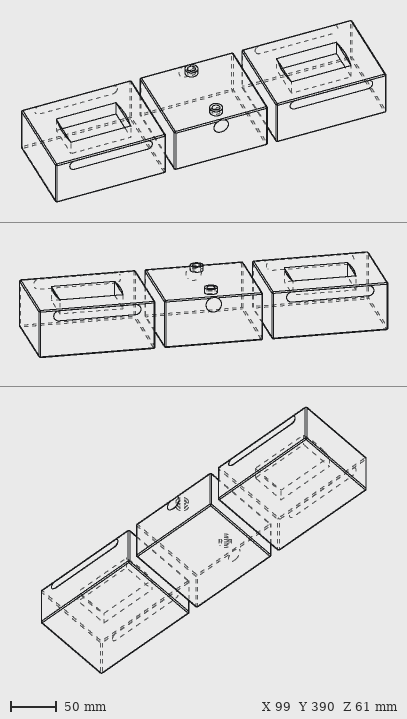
import cadquery as cq
import math

block_width = 99.0
block_height = 55.0
edge_chamfer = 1.4

row_length = 390.0
end_block_length = 130.0
block_gap = 10.0
middle_block_length = row_length - 2 * (end_block_length + block_gap)
end_block_offset = (row_length - end_block_length) / 2

pocket_width = 41.7
pocket_length = 70.5
pocket_depth = 16.5
relief_width = 39.0
relief_bulge = 2.0
relief_depth = 0.5

groove_diameter = 16.0
groove_height = 11.7
groove_length = 97.5
groove_drop = 7.5
groove_straight_length = groove_length - groove_height

dimple_ball_diameter = 23.5
dimple_mouth_diameter = 17.0
dimple_drop = 9.0

boss_diameter = 14.0
boss_bore_diameter = 8.5
boss_height = 6.0
boss_spacing = 70.0


def plain_block(length):
    """Block resting on Z = 0, centred on the origin, with all edges chamfered."""
    block = cq.Workplane("XY").box(block_width, length, block_height, centered=(True, True, False))
    return block.edges().chamfer(edge_chamfer)


def pocket_cutter():
    """Rectangular pocket plus the shallow arched reliefs beyond its two ends."""
    half_length = pocket_length / 2
    half_relief = relief_width / 2
    arch_tip = half_length + relief_bulge
    recess = (
        cq.Workplane("XY", origin=(0, 0, block_height - pocket_depth))
        .rect(pocket_width, pocket_length)
        .extrude(pocket_depth)
    )
    reliefs = (
        cq.Workplane("XY", origin=(0, 0, block_height - relief_depth))
        .moveTo(-half_relief, -half_length)
        .threePointArc((0, -arch_tip), (half_relief, -half_length))
        .lineTo(half_relief, half_length)
        .threePointArc((0, arch_tip), (-half_relief, half_length))
        .close()
        .extrude(relief_depth)
    )
    return recess.union(reliefs)


def centre_offset(ball_diameter, mouth_width):
    """Distance from a flat face to the centre of a ball or bar that cuts a mouth of the given width."""
    return math.sqrt(ball_diameter**2 - mouth_width**2) / 2


def groove_cutter(side):
    """Bar along Y with ball ends that dips into one side face."""
    centre_x = side * (block_width / 2 + centre_offset(groove_diameter, groove_height))
    centre_z = block_height - groove_drop
    half_straight = groove_straight_length / 2
    groove_radius = groove_diameter / 2
    cutter = (
        cq.Workplane("XZ", origin=(centre_x, half_straight, centre_z))
        .circle(groove_radius)
        .extrude(groove_straight_length)
    )
    for end in (-1, 1):
        ball = cq.Workplane("XY", origin=(centre_x, end * half_straight, centre_z)).sphere(groove_radius)
        cutter = cutter.union(ball)
    return cutter


def dimple_cutter(side):
    """Ball that dips into one side face of the middle block."""
    centre_x = side * (block_width / 2 + centre_offset(dimple_ball_diameter, dimple_mouth_diameter))
    centre_z = block_height - dimple_drop
    return cq.Workplane("XY", origin=(centre_x, 0, centre_z)).sphere(dimple_ball_diameter / 2)


def end_block(direction):
    """Pocketed block at one end of the row."""
    block = plain_block(end_block_length).cut(pocket_cutter())
    for side in (-1, 1):
        block = block.cut(groove_cutter(side))
    return block.translate((0, direction * end_block_offset, 0))


def middle_block():
    """Centre block with two hollow bosses and a dimple in each side."""
    block = plain_block(middle_block_length)
    for side in (-1, 1):
        block = block.cut(dimple_cutter(side))
        boss = (
            cq.Workplane("XY", origin=(side * boss_spacing / 2, 0, block_height))
            .circle(boss_diameter / 2)
            .circle(boss_bore_diameter / 2)
            .extrude(boss_height)
        )
        block = block.union(boss)
    return block


end_blocks = [end_block(direction).val() for direction in (-1, 1)]
result = cq.Compound.makeCompound([middle_block().val(), *end_blocks])